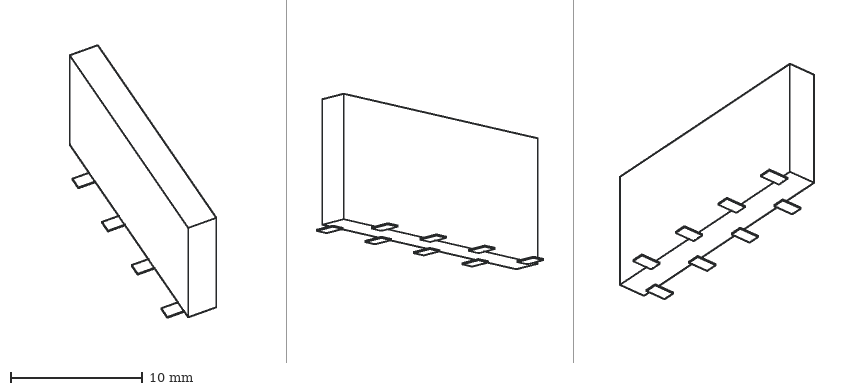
import cadquery as cq

HOUSING_LENGTH = 20.32
HOUSING_DEPTH = 2.4
TOTAL_HEIGHT = 9.95

LEAD_COUNT = 8
LEAD_PITCH = 2.55
LEAD_WIDTH = 1.04
LEAD_LENGTH = 1.79
LEAD_THICKNESS = 0.1
LEAD_TIP_SPAN = 5.2

HOUSING_HEIGHT = TOTAL_HEIGHT - LEAD_THICKNESS
LEAD_CENTER_Y = (LEAD_TIP_SPAN - LEAD_LENGTH) / 2
FIRST_LEAD_X = -LEAD_PITCH * (LEAD_COUNT - 1) / 2


def make_housing():
    """Block standing on the top faces of the leads, at Z = 0."""
    return cq.Workplane("XY").box(
        HOUSING_LENGTH, HOUSING_DEPTH, HOUSING_HEIGHT, centered=(True, True, False)
    )


def make_lead(index):
    """Flat strip below Z = 0; even indices point back (+Y), odd ones front (-Y)."""
    side = 1 if index % 2 == 0 else -1
    return (
        cq.Workplane("XY")
        .box(LEAD_WIDTH, LEAD_LENGTH, LEAD_THICKNESS, centered=(True, True, False))
        .translate((FIRST_LEAD_X + index * LEAD_PITCH, side * LEAD_CENTER_Y, -LEAD_THICKNESS))
    )


housing = make_housing()
leads = [make_lead(index) for index in range(LEAD_COUNT)]

result = cq.Compound.makeCompound([housing.val(), *[lead.val() for lead in leads]])